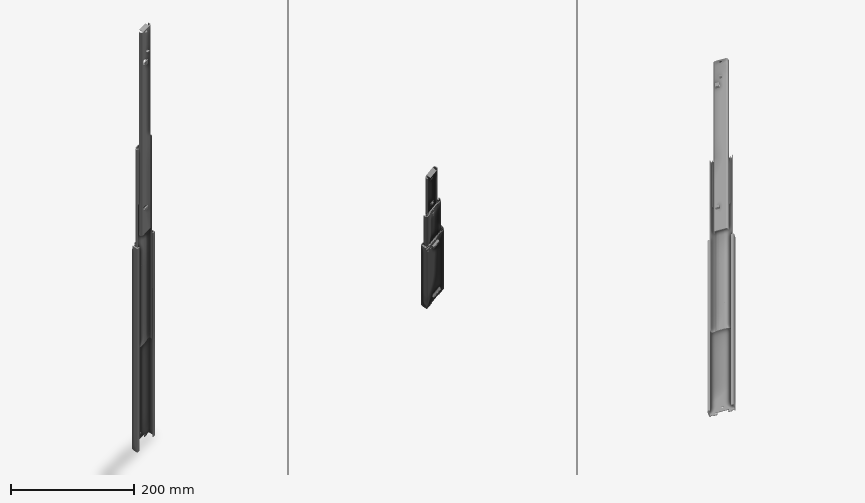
import cadquery as cq

total_height = 1125.0
half_depth = 6.35
overall_depth = 20.19
tab_reach = overall_depth / 2
sheet = 1.2

outer_half_width = 45.7 / 2
outer_top = 552.0
outer_bend = 1.6
outer_lip = 4.6
outer_crown = 0.4
outer_crown_x = (-2.5, 4.5)
outer_back = -half_depth
outer_mouth = half_depth - 0.5
outer_foot_notch = (18.0, 4.5)
foot_slit_centre = 18.6
foot_slit = (3.4, 2.4)
foot_relief = (24.0, 3.0)
top_corner_notch = (7.0, 10.0)
hook_centre = 67.0
hook_half_width = 9.0
hook_pitch = 10.5
hook_toe = 3.0
fixing_hole_height = 20.5
fixing_hole_diameter = 4.5
top_hole_height = 543.0
side_hole_height = 517.5
side_hole_places = (11.9, 18.5)
side_hole_diameter = 5.5

middle_half_width = 19.4
middle_bottom = 264.0
middle_top = 814.0
middle_bend = 3.5
middle_back = -3.4
middle_mouth = 2.9
rib_depth = 1.4
rib_base_half_width = 12.0
rib_shoulder_depth = 1.0
rib_shoulder_half_width = 8.5
rib_flat_half_width = 5.0
middle_holes = ((803.0, 3.0), (773.5, 6.5), (752.0, 3.0))

inner_half_width = 12.6
inner_bottom = 575.0
inner_bend = 3.5
inner_tip = 0.4
end_plate_tip = -2.0
end_plate_half_width = 8.0
end_hole_height = 1118.0
end_hole_diameter = 5.0
inner_tabs = (
    (1065.5, 3.0, 1.0, 2.0),
    (1041.0, 11.0, -4.5, 3.5),
    (646.5, 7.0, -4.5, 3.5),
)

retainer_sheet = 0.8
outer_retainer_half_width = 20.5
outer_retainer_back = -4.7
outer_retainer_mouth = 3.5
inner_retainer_half_width = 15.5
inner_retainer_back = -0.7
inner_retainer_mouth = 2.5
inner_retainer_sheet = 0.6
retainer_length = 150.0
retainer_setback = 2.0

knob_y = (-5.0, 9.0)
knob_z = (508.0, 525.0)
latch_slot_z = (500.0, 535.0)
latch_slot_half_width = 2.0
knob_recess_diameter = 5.0
knob_recess_depth = 1.0

lever_y = (-8.0, 0.0)
lever_z = (815.0, 831.5)
lever_thickness = 1.5
grip_length = 12.0
grip_thickness = 3.0
grip_inset = 2.5


def block(x, y, z):
    """Box between the two given limits along each axis."""
    size = (x[1] - x[0], y[1] - y[0], z[1] - z[0])
    return cq.Workplane("XY").box(*size, centered=False).translate((x[0], y[0], z[0]))


def channel(back, mouth, half_width, thickness, bend, z):
    """Bent sheet channel with its web at X = back and its open side at X = mouth."""
    opens_forward = mouth > back
    web_side = "|Z and <X" if opens_forward else "|Z and >X"
    inside = back + thickness if opens_forward else back - thickness
    inner_half = half_width - thickness
    body = block(sorted((back, mouth)), (-half_width, half_width), z).edges(web_side).fillet(bend)
    hollow = block(sorted((inside, mouth)), (-inner_half, inner_half), z)
    return body.cut(hollow.edges(web_side).fillet(bend - thickness))


def hole(y, z, diameter, x):
    """Round cutter along X between the given limits."""
    return (
        cq.Workplane("YZ").center(y, z).circle(diameter / 2).extrude(x[1] - x[0])
        .translate((x[0], 0, 0))
    )


def make_outer():
    z = (0, outer_top)
    web = (outer_back, outer_back + sheet)
    flange = outer_half_width - outer_crown
    body = channel(outer_back, outer_mouth, flange, sheet, outer_bend, z)
    for side in (-1, 1):
        edge = side * flange
        crown_y = sorted((edge, side * outer_half_width))
        body = body.union(block(outer_crown_x, crown_y, z))
        lip_y = sorted((edge, edge - side * outer_lip))
        body = body.union(block((outer_mouth - sheet, outer_mouth), lip_y, z))
        corner_y = sorted((edge, edge - side * top_corner_notch[0]))
        body = body.cut(block(web, corner_y, (outer_top - top_corner_notch[1], outer_top)))
        slit_y = [side * foot_slit_centre + end * foot_slit[0] / 2 for end in (-1, 1)]
        body = body.cut(block(web, slit_y, (0, foot_slit[1])))
    half_notch = outer_foot_notch[0] / 2
    body = body.cut(block(web, (-half_notch, half_notch), (0, outer_foot_notch[1])))
    half_relief = foot_relief[0] / 2
    relief_z = (outer_foot_notch[1], outer_foot_notch[1] + foot_relief[1])
    body = body.cut(block(web, (-half_relief, half_relief), relief_z))
    body = body.cut(hole(0, fixing_hole_height, fixing_hole_diameter, web))
    body = body.cut(hole(0, top_hole_height, fixing_hole_diameter, web))
    for y in side_hole_places:
        body = body.cut(hole(y, side_hole_height, side_hole_diameter, web))
    body = body.cut(block(web, (-latch_slot_half_width, latch_slot_half_width), latch_slot_z))
    return add_mounting_hooks(body)


def add_mounting_hooks(body):
    """Two L-shaped hooks on the back of the web, facing each other."""
    y = (-hook_half_width, hook_half_width)
    for side in (-1, 1):
        root = hook_centre + side * hook_pitch / 2
        end = root + side * sheet
        stem = block((-tab_reach, outer_back), y, sorted((root, end)))
        toe_z = sorted((end, end - side * hook_toe))
        toe = block((-tab_reach, -tab_reach + sheet), y, toe_z)
        body = body.union(stem).union(toe)
    return body


def rib(back, z):
    """Prism standing on X = back and narrowing towards +X in two slopes."""
    shoulder = back + rib_shoulder_depth
    front = back + rib_depth
    return (
        cq.Workplane("XY").workplane(offset=z[0])
        .moveTo(back, -rib_base_half_width)
        .lineTo(shoulder, -rib_shoulder_half_width)
        .lineTo(front, -rib_flat_half_width)
        .lineTo(front, rib_flat_half_width)
        .lineTo(shoulder, rib_shoulder_half_width)
        .lineTo(back, rib_base_half_width)
        .close().extrude(z[1] - z[0])
    )


def make_middle():
    z = (middle_bottom, middle_top)
    web = (middle_back, middle_back + sheet + rib_depth)
    body = channel(middle_back, middle_mouth, middle_half_width, sheet, middle_bend, z)
    body = body.union(rib(middle_back + sheet, z)).cut(rib(middle_back, z))
    for height, diameter in middle_holes:
        body = body.cut(hole(0, height, diameter, web))
    return body


def make_inner():
    z = (inner_bottom, total_height)
    web = (half_depth - sheet, half_depth)
    body = channel(half_depth, inner_tip, inner_half_width, sheet, inner_bend, z)
    plate_y = (-end_plate_half_width, end_plate_half_width)
    plate = block((end_plate_tip, web[0]), plate_y, (total_height - sheet, total_height))
    body = body.union(plate).cut(hole(0, end_hole_height, end_hole_diameter, web))
    for height, length, centre, half_width in inner_tabs:
        tab_y = (centre - half_width, centre + half_width)
        body = add_tab(body, web, height, length, tab_y)
    return body


def add_tab(body, web, height, length, y):
    """Tongue bent out of a window in the web, standing beyond the front of the slide."""
    bottom = height - length / 2
    z = (bottom, bottom + length)
    window = block(web, y, z)
    foot = block((web[0], tab_reach), y, (bottom, bottom + sheet))
    toe = block((tab_reach - sheet, tab_reach), y, z)
    return body.cut(window).union(foot).union(toe)


def make_outer_retainer():
    top = outer_top - retainer_setback
    return channel(
        outer_retainer_back, outer_retainer_mouth, outer_retainer_half_width,
        retainer_sheet, 2 * retainer_sheet, (top - retainer_length, top),
    )


def make_inner_retainer():
    top = middle_top - retainer_setback
    return channel(
        inner_retainer_back, inner_retainer_mouth, inner_retainer_half_width,
        inner_retainer_sheet, 2 * inner_retainer_sheet, (top - retainer_length, top),
    )


def make_latch():
    """Recessed knob on the back of the outer web with a key that fills the slot behind it."""
    knob = block((-tab_reach, outer_back), knob_y, knob_z)
    recess_x = (-tab_reach, -tab_reach + knob_recess_depth)
    recess = hole(sum(knob_y) / 2, sum(knob_z) / 2, knob_recess_diameter, recess_x)
    knob = knob.cut(recess)
    key_y = (-latch_slot_half_width, latch_slot_half_width)
    return knob.union(block((outer_back, outer_back + sheet), key_y, latch_slot_z))


def make_lever():
    seat = half_depth - sheet
    arm = block((seat - lever_thickness, seat), lever_y, lever_z)
    grip_y = (lever_y[0] + grip_inset, lever_y[1] - grip_inset)
    grip_top = lever_z[1] - grip_inset
    grip = block((seat - grip_thickness, seat), grip_y, (grip_top - grip_length, grip_top))
    return arm.union(grip)


outer = make_outer()
middle = make_middle()
inner = make_inner()
outer_retainer = make_outer_retainer()
inner_retainer = make_inner_retainer()
latch = make_latch()
lever = make_lever()

result = cq.Compound.makeCompound(
    [
        outer.val(),
        middle.val(),
        inner.val(),
        outer_retainer.val(),
        inner_retainer.val(),
        latch.val(),
        lever.val(),
    ]
)